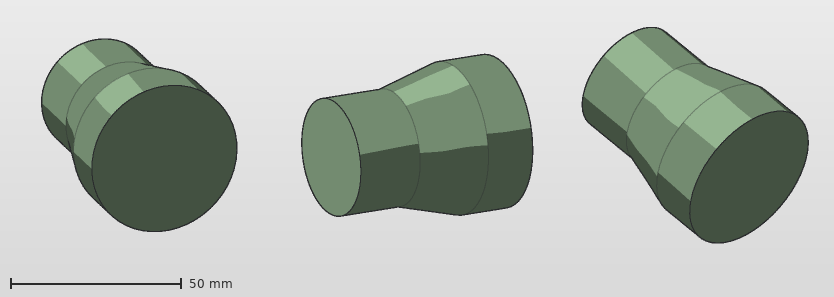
import cadquery as cq

total_length = 55.0
small_diameter = 35.0
large_diameter = 45.6
small_length = 20.0
taper_length = 20.0

small_radius = small_diameter / 2
large_radius = large_diameter / 2
taper_end = small_length + taper_length

profile = (
    cq.Workplane("XZ")
    .moveTo(0, 0)
    .lineTo(0, small_radius)
    .lineTo(small_length, small_radius)
    .lineTo(taper_end, large_radius)
    .lineTo(total_length, large_radius)
    .lineTo(total_length, 0)
    .close()
)

result = profile.revolve(360, (0, 0, 0), (1, 0, 0))